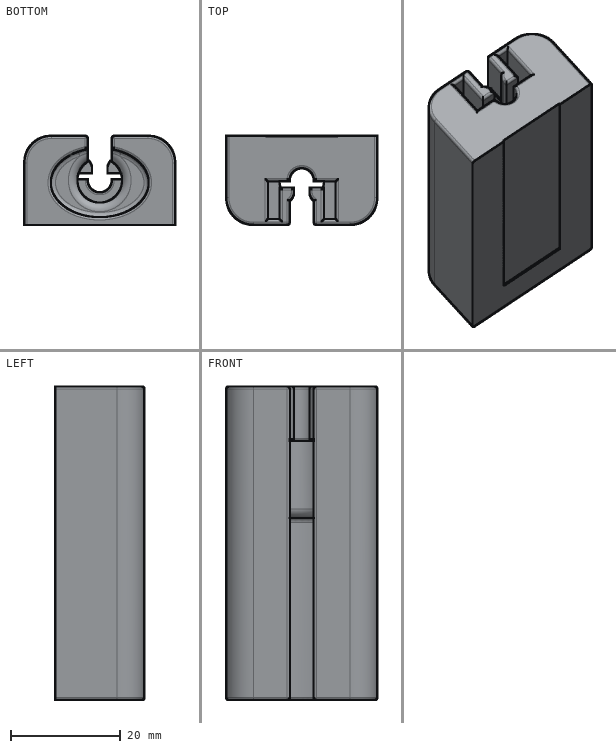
import cadquery as cq

WIDTH = 27.7
DEPTH = 16.4
HEIGHT = 57.5
CORNER_RADIUS = 5.0
EDGE_RADIUS = 0.5

SLOT_HALF_WIDTH = 2.2
HOLE_RADIUS = SLOT_HALF_WIDTH
AXIS_Y = DEPTH / 2

POCKET_HALF_WIDTH = 6.2
POCKET_BACK_Y = 8.0
POCKET_FLOOR_Z = 47.5
FRONT_WALL = 1.1

TONGUE_GAP = 0.4
TONGUE_BOTTOM_Z = POCKET_FLOOR_Z + TONGUE_GAP
TONGUE_OUTER_X = 4.1
TONGUE_BACK_Y = 6.9
LIP_INNER_X = 1.4
LIP_FRONT_Y = 4.4
LIP_ARC_BACK_Y = 6.05

BORE_RADIUS = 4.1
HOLE_MOUTH_RADIUS = 0.45
CAVITY_CEILING_Z = 33.4
CAVITY_HALF_WIDTH = 8.95
CAVITY_HALF_DEPTH = 6.3
CAVITY_CENTRE_Y = 8.6
BORE_MOUTH_RADIUS = 1.65
CAVITY_CEILING_RADIUS = 0.85

RECESS_WIDTH = 13.0
RECESS_DEPTH = 0.2
RECESS_BOTTOM_Z = (WIDTH - RECESS_WIDTH) / 2

TOLERANCE = 0.005


def block(x_min, x_max, y_min, y_max, z_min, z_max):
    """Axis-aligned box between the given limits."""
    size = (x_max - x_min, y_max - y_min, z_max - z_min)
    return cq.Workplane("XY").box(*size, centered=False).translate((x_min, y_min, z_min))


def cylinder(radius, z_min, z_max):
    """Upright cylinder on the axis of the hole."""
    return cq.Workplane("XY", origin=(0, AXIS_Y, z_min)).circle(radius).extrude(z_max - z_min)


def level_edges(body, z, curve_type):
    """Edges of one curve type that lie flat at height z."""

    def lies_at_level(edge):
        box = edge.BoundingBox()
        return abs(box.zmin - z) < TOLERANCE and abs(box.zmax - z) < TOLERANCE

    edges = body.edges("%" + curve_type).vals()
    return body.newObject([edge for edge in edges if lies_at_level(edge)])


def slotted_block():
    """Block with rounded front corners and a full-height front slot."""
    body = block(-WIDTH / 2, WIDTH / 2, 0, DEPTH, 0, HEIGHT)
    body = body.edges("|Z and <Y").fillet(CORNER_RADIUS)
    return body.cut(block(-SLOT_HALF_WIDTH, SLOT_HALF_WIDTH, 0, POCKET_BACK_Y, 0, HEIGHT))


def cut_cavities(body):
    """Cut the oval cavity, the bore and the hole, and round the steps between them."""
    cavity = (
        cq.Workplane("XY", origin=(0, CAVITY_CENTRE_Y, 0))
        .ellipse(CAVITY_HALF_DEPTH, CAVITY_HALF_WIDTH, rotation_angle=90)
        .extrude(CAVITY_CEILING_Z)
    )
    body = body.cut(cavity).cut(cylinder(BORE_RADIUS, 0, POCKET_FLOOR_Z))
    body = level_edges(body, CAVITY_CEILING_Z, "CIRCLE").fillet(BORE_MOUTH_RADIUS)
    body = level_edges(body, CAVITY_CEILING_Z, "ELLIPSE").fillet(CAVITY_CEILING_RADIUS)

    hole = cylinder(HOLE_RADIUS, POCKET_FLOOR_Z, HEIGHT)
    flare = (
        cq.Workplane("XZ", origin=(0, AXIS_Y, POCKET_FLOOR_Z))
        .lineTo(HOLE_RADIUS + HOLE_MOUTH_RADIUS, 0)
        .radiusArc((HOLE_RADIUS, HOLE_MOUTH_RADIUS), HOLE_MOUTH_RADIUS)
        .lineTo(0, HOLE_MOUTH_RADIUS)
        .close()
        .revolve(360, (0, 0), (0, 1))
    )
    return body.cut(hole).cut(flare)


def tongue(side):
    """Spring tongue on one side of the slot (side = -1 or +1), with a rounded gripping lip."""
    lip_reach = SLOT_HALF_WIDTH - LIP_INNER_X
    lip_length = LIP_ARC_BACK_Y - LIP_FRONT_Y
    lip_radius = (lip_reach**2 + lip_length**2) / (2 * lip_reach)
    return (
        cq.Workplane("XY", origin=(0, 0, TONGUE_BOTTOM_Z))
        .moveTo(side * SLOT_HALF_WIDTH, FRONT_WALL)
        .lineTo(side * SLOT_HALF_WIDTH, LIP_FRONT_Y)
        .radiusArc((side * LIP_INNER_X, LIP_ARC_BACK_Y), side * lip_radius)
        .lineTo(side * LIP_INNER_X, TONGUE_BACK_Y)
        .lineTo(side * TONGUE_OUTER_X, TONGUE_BACK_Y)
        .lineTo(side * TONGUE_OUTER_X, FRONT_WALL)
        .close()
        .extrude(HEIGHT - TONGUE_BOTTOM_Z)
    )


def add_spring_tongues(body):
    """Cut the top pocket and stand the two tongues in it."""
    pocket = block(
        -POCKET_HALF_WIDTH, POCKET_HALF_WIDTH, FRONT_WALL, POCKET_BACK_Y, POCKET_FLOOR_Z, HEIGHT
    )
    return body.cut(pocket).union(tongue(-1)).union(tongue(1))


def is_rounded_edge(edge):
    """True for top and bottom edges off the back face, and for the slot's front corners."""
    box = edge.BoundingBox()
    at_top = box.zmin > HEIGHT - TOLERANCE
    at_bottom = box.zmax < TOLERANCE
    off_back_face = box.ymin < DEPTH - TOLERANCE
    slot_corner = box.ymax < TOLERANCE and abs(edge.Center().x) < SLOT_HALF_WIDTH + TOLERANCE
    return ((at_top or at_bottom) and off_back_face) or slot_corner


def round_edges(body):
    edges = [edge for edge in body.edges().vals() if is_rounded_edge(edge)]
    return body.newObject(edges).fillet(EDGE_RADIUS)


def back_recess():
    return block(
        -RECESS_WIDTH / 2, RECESS_WIDTH / 2, DEPTH - RECESS_DEPTH, DEPTH, RECESS_BOTTOM_Z, HEIGHT
    )


body = cut_cavities(slotted_block())
body = round_edges(add_spring_tongues(body))
result = body.cut(back_recess()).solids()